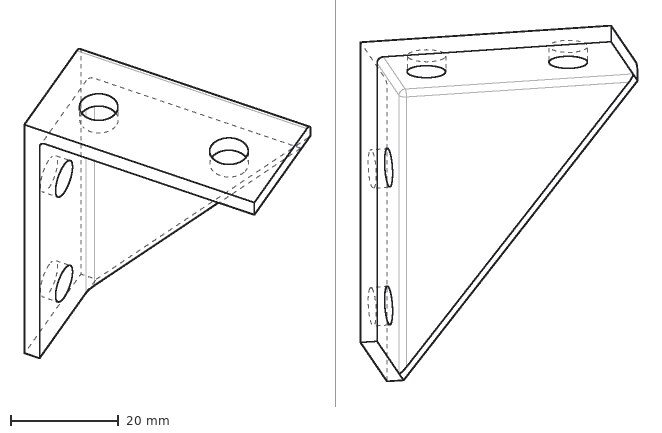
import cadquery as cq

length = 47.65
width = 23.8
height = 58.75

plate_thickness = 3.2
gusset_thickness = 3.2
inner_radius = 1.2
outer_radius = 1.6

hole_diameter = 7.15
hole_inset = 10.35
hole_spacing = 26.95

shelf_underside = height - plate_thickness
gusset_front = width - gusset_thickness


def bracket_blank():
    """Full-width solid with the outer outline of the bracket, rounded along its top rear edge."""
    outline = [
        (0, 0),
        (plate_thickness, 0),
        (length, shelf_underside),
        (length, height),
        (0, height),
    ]
    blank = cq.Workplane("XZ").polyline(outline).close().extrude(-width)
    return blank.edges(">Y and >Z").fillet(outer_radius)


def cavity():
    """Space in front of the gusset, with the three inside edges rounded."""
    block = (
        cq.Workplane("XY", origin=(plate_thickness, gusset_front - width, shelf_underside - height))
        .box(length, width, height, centered=False)
    )
    inside_edges = "(<X and >Y) or (<X and >Z) or (>Y and >Z)"
    return block.edges(inside_edges).fillet(inner_radius)


def leg_holes(workplane, centers):
    """Round cutters that pass through one leg, starting on the given plane."""
    return workplane.pushPoints(centers).circle(hole_diameter / 2).extrude(plate_thickness)


outer_x = length - hole_inset
shelf_centers = [(x, hole_inset) for x in (outer_x - hole_spacing, outer_x)]
wall_centers = [(hole_inset, z) for z in (hole_inset, hole_inset + hole_spacing)]
shelf_holes = leg_holes(cq.Workplane("XY", origin=(0, 0, shelf_underside)), shelf_centers)
wall_holes = leg_holes(cq.Workplane("YZ"), wall_centers)

result = bracket_blank().cut(cavity()).cut(shelf_holes).cut(wall_holes)